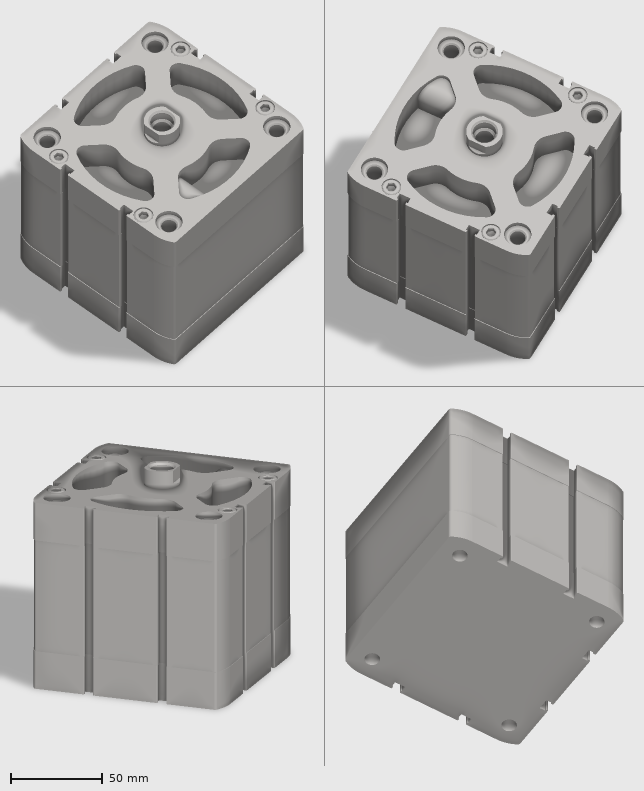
import cadquery as cq
import math

WIDTH = 113.5
TOTAL_HEIGHT = 116.8
BODY_HEIGHT = 107.0
CAP_HEIGHT = 21.6
TUBE_INSET = 0.4

CORNER_ARC_RADIUS = 23.4
CORNER_ARC_LENGTH = 12.5
CORNER_EDGE_FILLET = 1.8

SLOT_OFFSET = 21.5
SLOT_DEPTH = 4.9
SLOT_WIDTH = 6.8
SLOT_OPENING = 5.1
SLOT_LIP = 1.5
SLOT_LIP_CHAMFER = 0.4

POCKET_INNER_RADIUS = 27.5
POCKET_OUTER_RADIUS = 49.3
POCKET_DEPTH = 18.9
POCKET_APEX = 9.6
POCKET_INNER_FILLET = 9.0
POCKET_OUTER_FILLET = 5.0

BLOCK_EDGE_Y = -11.9
BLOCK_ROUND = 8.0
BLOCK_TOP_BELOW_FACE = 2.8

MOUNT_OFFSET = 44.5
MOUNT_HOLE_DIAMETER = 8.5
MOUNT_CHAMFER_DIAMETER = 10.0
MOUNT_BORE_DIAMETER = 15.0
MOUNT_BORE_DEPTH = 3.0

SCREW_X = 31.0
SCREW_Y = 50.2
SCREW_RECESS_DIAMETER = 10.7
SCREW_HEAD_DIAMETER = 10.0
SCREW_HEAD_TOP_DIAMETER = 9.0
SCREW_GROOVE_DEPTH = 1.0
SOCKET_MOUTH_DIAMETER = 6.1
SOCKET_MOUTH_DEPTH = 0.4
SOCKET_SIDES = 6
SOCKET_ACROSS_FLATS = 5.0
SOCKET_DEPTH = 3.0
SOCKET_CONE_DEPTH = 1.4

ROD_DIAMETER = 20.0
ROD_FLAT_GAP = 17.0
ROD_FLAT_HEIGHT = 7.0
ROD_FLAT_SLOPE = 0.7
ROD_BORE_MOUTH_DIAMETER = 15.0
ROD_BORE_DIAMETER = 13.0
ROD_BORE_CHAMFER_DEPTH = 1.2
ROD_BORE_DEPTH = 6.4
THREAD_MOUTH_DIAMETER = 12.0
THREAD_DIAMETER = 10.2
THREAD_DEPTH = 23.4
DRILL_POINT_ANGLE = 118.0

ROD_BOTTOM = BODY_HEIGHT - CAP_HEIGHT
TUBE_HEIGHT = BODY_HEIGHT - 2 * CAP_HEIGHT
FLAT_CLEARANCE = 1.2


def rounded_block(inset, bottom, height):
    """Square block whose corners are shallow arcs tangent to the -Y and +Y faces."""
    half = WIDTH / 2 - inset
    arc_x = WIDTH / 2 - CORNER_ARC_LENGTH
    run = half - arc_x

    def arc_drop(distance):
        return CORNER_ARC_RADIUS - math.sqrt(CORNER_ARC_RADIUS**2 - distance**2)

    end_y = half - arc_drop(run)
    mid_x = arc_x + run / 2
    mid_y = half - arc_drop(run / 2)
    block = (
        cq.Workplane("XY", origin=(0, 0, bottom))
        .moveTo(-arc_x, -half)
        .lineTo(arc_x, -half)
        .threePointArc((mid_x, -mid_y), (half, -end_y))
        .lineTo(half, end_y)
        .threePointArc((mid_x, mid_y), (arc_x, half))
        .lineTo(-arc_x, half)
        .threePointArc((-mid_x, mid_y), (-half, end_y))
        .lineTo(-half, -end_y)
        .threePointArc((-mid_x, -mid_y), (-arc_x, -half))
        .close()
        .extrude(height)
    )
    side_edges = block.edges("|Z").edges("<X or >X")
    return side_edges.fillet(CORNER_EDGE_FILLET)


def slot_cutter(inset, bottom, height):
    """One T-slot along Z, open through the -Y face, with chamfered lips."""
    face = inset - WIDTH / 2
    floor = face + SLOT_DEPTH
    lip_inside = face + SLOT_LIP
    half_opening = SLOT_OPENING / 2
    half_mouth = half_opening + SLOT_LIP_CHAMFER
    half_width = SLOT_WIDTH / 2
    return (
        cq.Workplane("XY", origin=(0, 0, bottom))
        .polyline([
            (-half_mouth, face),
            (-half_opening, face + SLOT_LIP_CHAMFER),
            (-half_opening, lip_inside),
            (-half_width, lip_inside),
            (-half_width, floor),
            (half_width, floor),
            (half_width, lip_inside),
            (half_opening, lip_inside),
            (half_opening, face + SLOT_LIP_CHAMFER),
            (half_mouth, face),
        ])
        .close()
        .extrude(height)
    )


def slotted_block(inset, bottom, height):
    """One housing section: a rounded block with two T-slots on -Y, +Y and -X; +X is plain."""
    block = rounded_block(inset, bottom, height)
    slot = slot_cutter(inset, bottom, height)
    for angle in (0, 180, -90):
        for x in (-SLOT_OFFSET, SLOT_OFFSET):
            block = block.cut(slot.translate((x, 0, 0)).rotate((0, 0, 0), (0, 0, 1), angle))
    return block


def pocket_cutter(angle):
    """Ring sector with sides at 45 degrees and rounded corners, facing +X before the turn."""
    floor_z = BODY_HEIGHT - POCKET_DEPTH
    reach = POCKET_OUTER_RADIUS
    ring = (
        cq.Workplane("XY", origin=(0, 0, floor_z))
        .circle(POCKET_OUTER_RADIUS)
        .circle(POCKET_INNER_RADIUS)
        .extrude(POCKET_DEPTH)
    )
    wedge = (
        cq.Workplane("XY", origin=(0, 0, floor_z))
        .polyline([(POCKET_APEX, 0), (POCKET_APEX + reach, -reach), (POCKET_APEX + reach, reach)])
        .close()
        .extrude(POCKET_DEPTH)
    )
    sector = ring.intersect(wedge)
    sector = sector.edges("|Z").edges("<X").fillet(POCKET_INNER_FILLET)
    outer_corners = sector.edges("|Z").edges(">Y or <Y")
    return outer_corners.fillet(POCKET_OUTER_FILLET).rotate((0, 0, 0), (0, 0, 1), angle)


def pocket_block():
    """Block with one rounded upper edge that part-fills the -Y end of the +X pocket."""
    floor_z = BODY_HEIGHT - POCKET_DEPTH
    block = cq.Workplane("XY").box(
        POCKET_OUTER_RADIUS,
        POCKET_OUTER_RADIUS,
        POCKET_DEPTH - BLOCK_TOP_BELOW_FACE,
        centered=False,
    ).translate((0, BLOCK_EDGE_Y - POCKET_OUTER_RADIUS, floor_z))
    block = block.edges(">Y and >Z").fillet(BLOCK_ROUND)
    return block.intersect(pocket_cutter(0))


def revolve_profile(points):
    """Solid of revolution about Z from (radius, z) points."""
    return cq.Workplane("XZ").polyline(points).close().revolve(360, (0, 0), (0, 1))


def mount_hole_cutter():
    """Through hole with a chamfered mouth at the floor of a counterbore."""
    hole_radius = MOUNT_HOLE_DIAMETER / 2
    chamfer_radius = MOUNT_CHAMFER_DIAMETER / 2
    bore_radius = MOUNT_BORE_DIAMETER / 2
    bore_floor = BODY_HEIGHT - MOUNT_BORE_DEPTH
    return revolve_profile([
        (0, 0),
        (hole_radius, 0),
        (hole_radius, bore_floor - (chamfer_radius - hole_radius)),
        (chamfer_radius, bore_floor),
        (bore_radius, bore_floor),
        (bore_radius, BODY_HEIGHT),
        (0, BODY_HEIGHT),
    ])


def screw_cutter():
    """Groove around a chamfered screw head, and the countersunk hexagon socket in the head."""
    head_chamfer = (SCREW_HEAD_DIAMETER - SCREW_HEAD_TOP_DIAMETER) / 2
    groove = revolve_profile([
        (SCREW_HEAD_TOP_DIAMETER / 2, BODY_HEIGHT),
        (SCREW_HEAD_DIAMETER / 2, BODY_HEIGHT - head_chamfer),
        (SCREW_HEAD_DIAMETER / 2, BODY_HEIGHT - SCREW_GROOVE_DEPTH),
        (SCREW_RECESS_DIAMETER / 2, BODY_HEIGHT - SCREW_GROOVE_DEPTH),
        (SCREW_RECESS_DIAMETER / 2, BODY_HEIGHT),
    ])
    socket_floor = BODY_HEIGHT - SOCKET_DEPTH
    half_side_angle = 180 / SOCKET_SIDES
    across_corners = SOCKET_ACROSS_FLATS / math.cos(math.radians(half_side_angle))
    socket = (
        cq.Workplane("XY", origin=(0, 0, socket_floor))
        .polygon(SOCKET_SIDES, across_corners)
        .extrude(SOCKET_DEPTH)
        .rotate((0, 0, 0), (0, 0, 1), half_side_angle)
    )
    point = revolve_profile([
        (0, socket_floor - SOCKET_CONE_DEPTH),
        (SOCKET_ACROSS_FLATS / 2, socket_floor),
        (0, socket_floor),
    ])
    mouth = revolve_profile([
        (0, BODY_HEIGHT - SOCKET_MOUTH_DEPTH),
        (SOCKET_ACROSS_FLATS / 2, BODY_HEIGHT - SOCKET_MOUTH_DEPTH),
        (SOCKET_MOUTH_DIAMETER / 2, BODY_HEIGHT),
        (0, BODY_HEIGHT),
    ])
    return groove.union(socket).union(mouth).union(point)


def make_housing():
    housing = slotted_block(0, 0, CAP_HEIGHT)
    housing = housing.union(slotted_block(TUBE_INSET, CAP_HEIGHT, TUBE_HEIGHT))
    housing = housing.union(slotted_block(0, BODY_HEIGHT - CAP_HEIGHT, CAP_HEIGHT))
    for angle in (0, 90, 180, 270):
        housing = housing.cut(pocket_cutter(angle))
    housing = housing.union(pocket_block())
    for x_side in (-1, 1):
        for y_side in (-1, 1):
            mount_place = (x_side * MOUNT_OFFSET, y_side * MOUNT_OFFSET, 0)
            screw_place = (x_side * SCREW_X, y_side * SCREW_Y, 0)
            housing = housing.cut(mount_hole_cutter().translate(mount_place))
            housing = housing.cut(screw_cutter().translate(screw_place))
    rod_bore = (
        cq.Workplane("XY", origin=(0, 0, ROD_BOTTOM))
        .circle(ROD_DIAMETER / 2)
        .extrude(BODY_HEIGHT - ROD_BOTTOM)
    )
    return housing.cut(rod_bore)


def rod_flat_cutter():
    """Cutter for the +Y wrench flat with the sloping ledge below it."""
    flat_y = ROD_FLAT_GAP / 2
    outer_y = ROD_DIAMETER / 2 + FLAT_CLEARANCE
    flat_bottom = TOTAL_HEIGHT - ROD_FLAT_HEIGHT
    ledge_drop = ROD_FLAT_SLOPE * (outer_y - flat_y)
    return (
        cq.Workplane("YZ")
        .polyline([
            (flat_y, flat_bottom),
            (outer_y, flat_bottom - ledge_drop),
            (outer_y, TOTAL_HEIGHT),
            (flat_y, TOTAL_HEIGHT),
        ])
        .close()
        .extrude(ROD_DIAMETER / 2, both=True)
    )


def rod_bore_cutter():
    """Chamfered counterbore, thread bore and drill point down the rod axis."""
    bore_floor = TOTAL_HEIGHT - ROD_BORE_DEPTH
    thread_radius = THREAD_DIAMETER / 2
    mouth_radius = THREAD_MOUTH_DIAMETER / 2
    thread_bottom = TOTAL_HEIGHT - THREAD_DEPTH
    point_depth = thread_radius / math.tan(math.radians(DRILL_POINT_ANGLE / 2))
    return revolve_profile([
        (0, thread_bottom - point_depth),
        (thread_radius, thread_bottom),
        (thread_radius, bore_floor - (mouth_radius - thread_radius)),
        (mouth_radius, bore_floor),
        (ROD_BORE_DIAMETER / 2, bore_floor),
        (ROD_BORE_DIAMETER / 2, TOTAL_HEIGHT - ROD_BORE_CHAMFER_DEPTH),
        (ROD_BORE_MOUTH_DIAMETER / 2, TOTAL_HEIGHT),
        (0, TOTAL_HEIGHT),
    ])


def make_rod():
    rod = (
        cq.Workplane("XY", origin=(0, 0, ROD_BOTTOM))
        .circle(ROD_DIAMETER / 2)
        .extrude(TOTAL_HEIGHT - ROD_BOTTOM)
    )
    for angle in (0, 180):
        rod = rod.cut(rod_flat_cutter().rotate((0, 0, 0), (0, 0, 1), angle))
    return rod.cut(rod_bore_cutter())


housing = make_housing()
rod = make_rod()
result = cq.Compound.makeCompound([housing.val(), rod.val()])